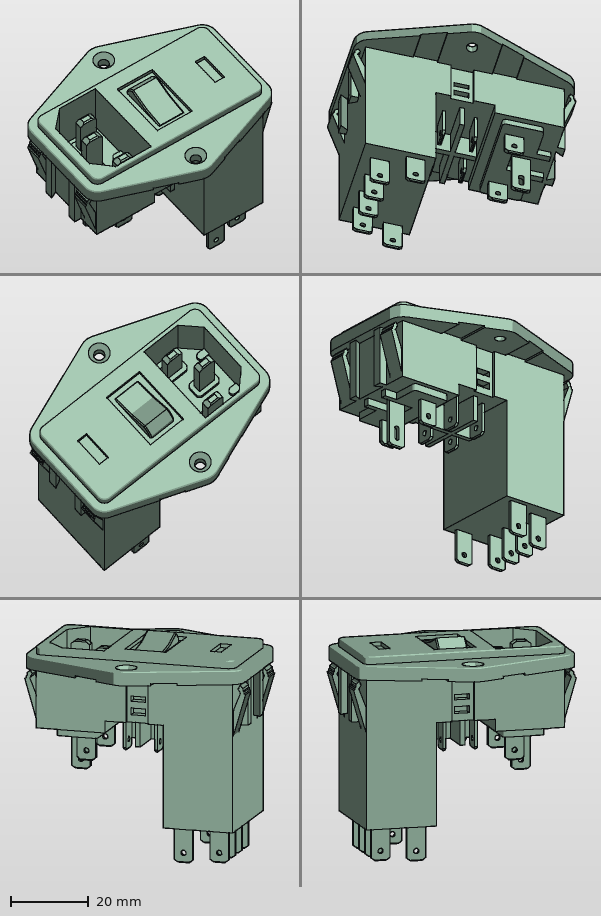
import cadquery as cq
import math


plate_width = 50.3
plate_length = 58.75
plate_thickness = 3.65
corner_radius = 4.15
corner_x = 11.6
corner_y = plate_length / 2 - corner_radius
screw_x = 20.0
lug_radius = plate_width / 2 - screw_x
screw_diameter = 2.85
countersink_diameter = 5.6
countersink_angle = 90
edge_round = 0.5
notch_near_y = 7.3
notch_far_y = 13.75
notch_height = 0.55

panel_width = 26.6
panel_length = 53.9
panel_top = 5.65
panel_corner_radius = 2.15

body_half_width = 13.05
body_end_y = 26.5
fuse_inner_y = 7.75
fuse_bottom = -39.8
middle_bottom = -12.7
inlet_inner_y = -8.0
inlet_bottom = -15.85
rib_inner_x = 3.75
rib_outer_x = 6.25
rib_end_y = 28.5
rib_root_x = 4.75

latch_inner_x = 7.85
latch_outer_x = 12.5
latch_tip_y = 29.75
latch_tip_z = -3.1
latch_outer_root_z = -14.2
latch_inner_root_z = -7.55
latch_catch_steps = [(29.4, -2.9), (29.4, -2.4), (29.1, -2.2), (29.1, -1.5), (28.8, -1.3)]
latch_catch_top = (28.3, -0.7)
latch_catch_back = (27.75, -1.7)
latch_inner_knee = (28.4, -2.8)

window_width = 8.65
window_near_y = 17.7
window_far_y = 20.65
recess_depth = 1.0
recess_floor = panel_top - recess_depth

switch_recess_size = (17.4, 11.15)
switch_recess_y = 1.6
rocker_half_width = 7.2
rocker_length_y = 8.0
rocker_y = 1.7
rocker_crest = (-4.45, 7.75)
rocker_bulge = (-6.25, 6.5)
rocker_bend_start = (0.25, 6.1)
rocker_bend_end = (1.9, 5.65)
rocker_low_end = 4.9
rocker_edge_round = 0.35

side_recess_y = (-2.3, 3.7)
side_recess_depth = 0.9
side_window_y = (-1.25, 2.7)
side_windows_z = ((-7.15, -5.8), (-10.7, -8.9))
side_window_depth = 2.4
terminal_center_y = -0.09
barrier_thickness = 1.3
barrier_bottom = -19.65
barrier_half_x = 9.95
barrier_half_y = 6.35

inlet_half_width = 12.15
inlet_top_y = -8.45
inlet_low_y = -24.65
inlet_chamfer = 4.8
inlet_floor = -9.35
line_pin_tip = 1.8
earth_pin_tip = 5.1
pin_size = (2.15, 5.0)
pin_end_chamfer = (0.95, 1.3)
pin_side_chamfer = (0.3, 0.4)
line_pin_x = 8.05
line_pin_y = -14.4
earth_pin_y = -18.4
pad_size = (4.65, 7.5)
pad_corner_radius = 1.2
pad_height = 1.0
key_width = 2.1
key_length = 3.05
key_height = 1.0
lower_key_x = 6.35

cover_half_width = 11.7
cover_inner_y = -10.5
cover_outer_y = -25.25
cover_shoulder_y = -21.5
cover_nose_half_width = 4.3
cover_slot_half_width = 2.8
cover_slot_clearance = 0.6
cover_bottom = -17.8
cover_corner_radius = 0.9

blade_width = 5.0
blade_corner = (0.85, 1.1)
blade_bevel = 0.3
blade_hole = 1.35
blade_hole_height = 2.6
fuse_blade_tip = -49.0
line_blade_tip = -24.6
earth_blade_tip = -28.9
switch_blade_tip = -21.5
earth_slot_length = 3.9
earth_slot_height = 3.9
near_fuse_row_y = 12.75
far_fuse_row_y = 21.5
outer_fuse_x = 11.2
mid_fuse_x = 8.4
inner_fuse_x = 2.8
fuse_blade_thickness = 0.85
inlet_blade_thickness = 1.0
switch_blade_thickness = 0.8
switch_blade_x = 5.3
switch_blade_offset_y = 4.2


def block(x_range, y_range, z_range):
    """Axis-aligned box given its limits along each axis."""
    lows, highs = zip(x_range, y_range, z_range)
    sizes = [high - low for low, high in zip(lows, highs)]
    return cq.Workplane("XY").box(*sizes, centered=False).translate(lows)


def mirrored_pair(shape, plane):
    """The shape together with its mirror image."""
    return shape.union(shape.mirror(plane))


def flange_plate():
    """Plate whose outline wraps two corner circles and one lug circle on each side."""
    spread = math.hypot(screw_x - corner_x, corner_y)
    normal = math.atan2(screw_x - corner_x, corner_y) + math.asin((lug_radius - corner_radius) / spread)
    half_turn = (normal + math.pi / 2) / 2

    def on_corner(angle):
        return (corner_x + corner_radius * math.cos(angle), corner_y + corner_radius * math.sin(angle))

    def on_lug(angle):
        return (screw_x + lug_radius * math.cos(angle), lug_radius * math.sin(angle))

    def flip_x(point):
        return (-point[0], point[1])

    def flip_y(point):
        return (point[0], -point[1])

    def flip_both(point):
        return (-point[0], -point[1])

    top, middle, side = on_corner(math.pi / 2), on_corner(half_turn), on_corner(normal)
    lug, lug_end = on_lug(normal), on_lug(0)
    plate = (
        cq.Workplane("XY")
        .moveTo(*flip_x(top))
        .lineTo(*top)
        .threePointArc(middle, side)
        .lineTo(*lug)
        .threePointArc(lug_end, flip_y(lug))
        .lineTo(*flip_y(side))
        .threePointArc(flip_y(middle), flip_y(top))
        .lineTo(*flip_both(top))
        .threePointArc(flip_both(middle), flip_both(side))
        .lineTo(*flip_both(lug))
        .threePointArc(flip_x(lug_end), flip_x(lug))
        .lineTo(*flip_x(side))
        .threePointArc(flip_x(middle), flip_x(top))
        .close()
        .extrude(plate_thickness)
        .faces(">Z").edges().fillet(edge_round)
    )
    plate = (
        plate.faces(">Z").workplane(origin=(0, 0, 0))
        .pushPoints([(-screw_x, 0), (screw_x, 0)])
        .cskHole(screw_diameter, countersink_diameter, countersink_angle)
    )
    notch = block((-plate_width / 2, plate_width / 2), (notch_near_y, notch_far_y), (0, notch_height))
    return plate.cut(mirrored_pair(notch, "XZ"))


def front_panel():
    """Raised rounded panel standing on the flange plate."""
    return (
        cq.Workplane("XY", origin=(0, 0, plate_thickness))
        .rect(panel_width, panel_length)
        .extrude(panel_top - plate_thickness)
        .edges("|Z").fillet(panel_corner_radius)
        .faces(">Z").edges().fillet(edge_round)
    )


def housing():
    """Stepped body: deep fuse section, shallow switch section and inlet section.

    It runs up into the flange plate, filling the part of the underside notches above it.
    """
    body = (
        cq.Workplane("YZ")
        .polyline([
            (body_end_y, plate_thickness),
            (body_end_y, fuse_bottom),
            (fuse_inner_y, fuse_bottom),
            (fuse_inner_y, middle_bottom),
            (inlet_inner_y, middle_bottom),
            (inlet_inner_y, inlet_bottom),
            (-body_end_y, inlet_bottom),
            (-body_end_y, plate_thickness),
        ])
        .close()
        .extrude(body_half_width, both=True)
    )
    recess_x = body_half_width - side_recess_depth
    cuts = block((recess_x, body_half_width), side_recess_y, (middle_bottom, 0))
    for window_z in side_windows_z:
        cuts = cuts.union(block((recess_x - side_window_depth, recess_x), side_window_y, window_z))
    return body.cut(mirrored_pair(cuts, "YZ"))


def end_rib(bottom):
    """Upright rib on the +X, +Y side, undercut on its inner flank."""
    return (
        cq.Workplane("XY", origin=(0, 0, bottom))
        .polyline([
            (rib_root_x, body_end_y),
            (rib_inner_x, rib_end_y),
            (rib_outer_x, rib_end_y),
            (rib_outer_x, body_end_y),
        ])
        .close()
        .extrude(-bottom)
    )


def end_ribs():
    """Rib pairs on both end faces; the inlet end is deeper than the fuse end."""
    rear = end_rib(middle_bottom)
    front = end_rib(inlet_bottom).mirror("XZ")
    return mirrored_pair(front.union(rear), "YZ")


def latches():
    """Sprung arms leaning out from the end faces, with a stepped catch at the top."""
    latch = (
        cq.Workplane("YZ", origin=(latch_inner_x, 0, 0))
        .polyline([
            (body_end_y, latch_outer_root_z),
            (latch_tip_y, latch_tip_z),
            *latch_catch_steps,
            latch_catch_top,
            latch_catch_back,
            latch_inner_knee,
            (body_end_y, latch_inner_root_z),
        ])
        .close()
        .extrude(latch_outer_x - latch_inner_x)
    )
    return mirrored_pair(mirrored_pair(latch, "XZ"), "YZ")


def front_recesses():
    """Fuse window and switch recess, both shallow."""
    window = block(
        (-window_width / 2, window_width / 2), (window_near_y, window_far_y), (recess_floor, panel_top)
    )
    switch = (
        cq.Workplane("XY", origin=(0, switch_recess_y, recess_floor))
        .rect(*switch_recess_size)
        .extrude(recess_depth)
    )
    return window.union(switch)


def rocker():
    """Rocker tilted to one side: rounded raised end, then two flats joined by a tangent arc."""
    shape = (
        cq.Workplane("XZ", origin=(0, rocker_y, 0))
        .moveTo(-rocker_half_width, plate_thickness)
        .lineTo(-rocker_half_width, recess_floor)
        .threePointArc(rocker_bulge, rocker_crest)
        .lineTo(*rocker_bend_start)
        .tangentArcPoint(rocker_bend_end, relative=False)
        .lineTo(rocker_half_width, rocker_low_end)
        .lineTo(rocker_half_width, plate_thickness)
        .close()
        .extrude(rocker_length_y / 2, both=True)
    )
    return shape.faces("<Y or >Y").edges("not <Z").edges("not |Z").chamfer(rocker_edge_round)


def inlet_cavity():
    """Six-sided socket opening, keyed by the two chamfered corners."""
    return (
        cq.Workplane("XY", origin=(0, 0, inlet_floor))
        .polyline([
            (-inlet_half_width, inlet_top_y),
            (inlet_half_width, inlet_top_y),
            (inlet_half_width, inlet_low_y + inlet_chamfer),
            (inlet_half_width - inlet_chamfer, inlet_low_y),
            (inlet_chamfer - inlet_half_width, inlet_low_y),
            (-inlet_half_width, inlet_low_y + inlet_chamfer),
        ])
        .close()
        .extrude(panel_top - inlet_floor)
    )


def inlet_pin(x, y, tip_z):
    """Contact pin with a chamfered tip, standing on a low rounded pad."""
    floor = cq.Workplane("XY", origin=(x, y, inlet_floor))
    pad = floor.rect(*pad_size).extrude(pad_height).edges("|Z").fillet(pad_corner_radius)
    pin = floor.rect(*pin_size).extrude(tip_z - inlet_floor)
    pin = pin.faces(">Z").edges("|X").chamfer(*pin_end_chamfer)
    pin = pin.faces(">Z").edges("|Y").chamfer(*pin_side_chamfer)
    return pad.union(pin)


def inlet_key(x, wall_y, inward):
    """Low round-ended key on the cavity floor, reaching inward from a wall."""
    straight = key_length - key_width / 2
    return (
        cq.Workplane("XY", origin=(x, wall_y, inlet_floor))
        .moveTo(-key_width / 2, 0)
        .lineTo(-key_width / 2, inward * straight)
        .threePointArc((0, inward * key_length), (key_width / 2, inward * straight))
        .lineTo(key_width / 2, 0)
        .close()
        .extrude(key_height)
    )


def inlet_cover():
    """Rounded plate under the inlet section, with a forked nose around the earth terminal."""
    z_range = (cover_bottom, inlet_bottom)
    plate = block((-cover_half_width, cover_half_width), (cover_shoulder_y, cover_inner_y), z_range)
    plate = plate.edges("|Z").fillet(cover_corner_radius)
    nose = block(
        (-cover_nose_half_width, cover_nose_half_width), (cover_outer_y, cover_shoulder_y), z_range
    )
    slot_end_y = earth_pin_y + blade_width / 2 + cover_slot_clearance
    slot = block((-cover_slot_half_width, cover_slot_half_width), (cover_outer_y, slot_end_y), z_range)
    return plate.union(nose).cut(slot)


def switch_barriers():
    """Crossed insulating walls between the switch terminals."""
    half = barrier_thickness / 2
    z_range = (barrier_bottom, middle_bottom)
    across = block((-barrier_half_x, barrier_half_x), (-half, half), z_range)
    along = block((-half, half), (-barrier_half_y, barrier_half_y), z_range)
    return across.union(along).translate((0, terminal_center_y, 0))


def blade(x, y, base, tip, thickness, along_y=True, slotted=False):
    """Flat terminal with cut corners, a bevelled tip and a round or slotted eye."""
    height = base - tip
    flat = (
        cq.Workplane("XY")
        .box(blade_width, thickness, height, centered=(True, True, False))
        .edges("|Y and <Z").chamfer(*blade_corner)
        .faces("<Z").edges("|X").chamfer(blade_bevel)
    )
    if slotted:
        eye = cq.Workplane("XZ", origin=(0, 0, earth_slot_height)).slot2D(earth_slot_length, blade_hole, 90)
    else:
        eye = cq.Workplane("XZ", origin=(0, 0, blade_hole_height)).circle(blade_hole / 2)
    flat = flat.cut(eye.extrude(thickness, both=True))
    if along_y:
        flat = flat.rotate((0, 0, 0), (0, 0, 1), 90)
    return flat.translate((x, y, tip))


def terminals():
    """All blades: the earth blade, then the line, fuse and switch blades of each side."""
    blades = blade(
        0, earth_pin_y, inlet_bottom, earth_blade_tip, inlet_blade_thickness, slotted=True
    )
    for side in (-1, 1):
        blades = blades.union(
            blade(side * line_pin_x, line_pin_y, cover_bottom, line_blade_tip, inlet_blade_thickness)
        )
        for x, y in (
            (outer_fuse_x, near_fuse_row_y),
            (mid_fuse_x, far_fuse_row_y),
            (inner_fuse_x, far_fuse_row_y),
        ):
            blades = blades.union(blade(side * x, y, fuse_bottom, fuse_blade_tip, fuse_blade_thickness))
        for row in (-1, 1):
            y = terminal_center_y + row * switch_blade_offset_y
            blades = blades.union(
                blade(
                    side * switch_blade_x, y, middle_bottom, switch_blade_tip,
                    switch_blade_thickness, along_y=False,
                )
            )
    return blades


result = flange_plate().union(front_panel()).union(housing())
result = result.union(end_ribs()).union(latches())
result = result.cut(front_recesses()).cut(inlet_cavity()).union(rocker())

result = result.union(inlet_pin(0, earth_pin_y, earth_pin_tip))
for pin_x in (-line_pin_x, line_pin_x):
    result = result.union(inlet_pin(pin_x, line_pin_y, line_pin_tip))

result = result.union(inlet_key(0, inlet_top_y, -1))
for key_x in (-lower_key_x, lower_key_x):
    result = result.union(inlet_key(key_x, inlet_low_y, 1))

result = result.union(inlet_cover()).union(switch_barriers()).union(terminals())